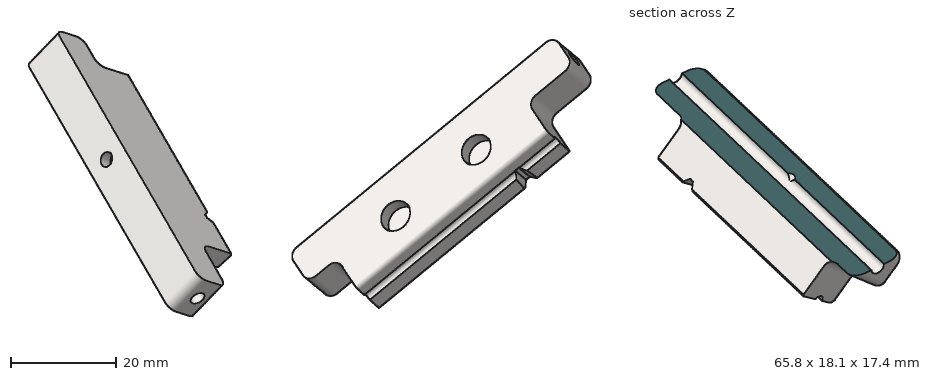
import cadquery as cq
import math

length = 65.83
thickness = 8.9
tilt_angle = 45.0

rail_width = 8.0
rail_corner_radius = 2.0
tongue_left = 7.2
tongue_right = 54.5
tongue_corner_radius = 2.0

back_width_top = 17.1
back_lean_angle = 6.0
back_top_chamfer = 0.35
back_bottom_radius = 1.05

groove_radius = 1.05
groove_height = 4.0
groove_axis_offset = 0.15

notch_x = 44.9
notch_mouth_width = 3.3
notch_root_width = 0.9
notch_depth = 1.6

cross_hole_diameter = 2.9
lengthwise_hole_y = 3.95
front_hole_x = 30.2
pocket_diameter = 6.2
pocket_depth = 3.1
pocket_y = 9.0
pocket_x_positions = (21.2, 41.2)


def back_y(height):
    """Y of the leaning back face at a given height above the bottom face."""
    return back_width_top - (thickness - height) * math.tan(math.radians(back_lean_angle))


def make_plan():
    """Rail with rounded corners, joined to the tongue by concave fillets."""
    rail = (
        cq.Workplane("XY")
        .box(length, rail_width, thickness, centered=False)
        .edges("|Z")
        .fillet(rail_corner_radius)
    )
    tongue_length = tongue_right - tongue_left
    tongue = (
        cq.Workplane("XY")
        .box(tongue_length, back_width_top, thickness, centered=False)
        .translate((tongue_left, 0, 0))
    )
    margin = 1.0
    inside_corners = cq.selectors.BoxSelector(
        (tongue_left - margin, rail_width - margin, -margin),
        (tongue_right + margin, rail_width + margin, thickness + margin),
    )
    plan = rail.union(tongue)
    return plan.edges("|Z").edges(inside_corners).fillet(tongue_corner_radius)


def make_side_profile():
    """Lengthwise prism with the leaning back face and its eased top and bottom edges."""
    prism = (
        cq.Workplane("YZ")
        .polyline([(0, 0), (back_y(0), 0), (back_width_top, thickness), (0, thickness)])
        .close()
        .extrude(length)
    )
    prism = prism.edges("|X and >Y").chamfer(back_top_chamfer)
    bottom_edge = cq.selectors.NearestToPointSelector((length / 2, back_y(0), 0))
    return prism.edges(bottom_edge).fillet(back_bottom_radius)


def lengthwise_cylinder(y, z, radius):
    """Cylinder along the whole length, centred at the given Y and Z."""
    return cq.Workplane("YZ").center(y, z).circle(radius).extrude(length)


def make_notch():
    """Tapered notch from the top face down to the groove axis."""
    root_y = back_width_top - notch_depth
    half_mouth = notch_mouth_width / 2
    half_root = notch_root_width / 2
    return (
        cq.Workplane("XY", origin=(notch_x, 0, groove_height))
        .polyline([
            (-half_mouth, back_width_top),
            (-half_root, root_y),
            (half_root, root_y),
            (half_mouth, back_width_top),
        ])
        .close()
        .extrude(thickness - groove_height)
    )


def make_front_hole():
    """Hole from the middle of the front face to the lengthwise hole."""
    return (
        cq.Workplane("XZ", origin=(front_hole_x, 0, thickness / 2))
        .circle(cross_hole_diameter / 2)
        .extrude(-lengthwise_hole_y)
    )


def make_pockets():
    """Round blind pockets in the bottom face."""
    centers = [(x, pocket_y) for x in pocket_x_positions]
    return cq.Workplane("XY").pushPoints(centers).circle(pocket_diameter / 2).extrude(pocket_depth)


groove_y = back_y(groove_height) + groove_axis_offset

bar = make_plan().intersect(make_side_profile())
bar = bar.cut(lengthwise_cylinder(groove_y, groove_height, groove_radius))
bar = bar.cut(lengthwise_cylinder(lengthwise_hole_y, thickness / 2, cross_hole_diameter / 2))
bar = bar.cut(make_front_hole())
bar = bar.cut(make_pockets())
bar = bar.cut(make_notch())

result = bar.rotate((0, 0, 0), (1, 0, 0), -tilt_angle)